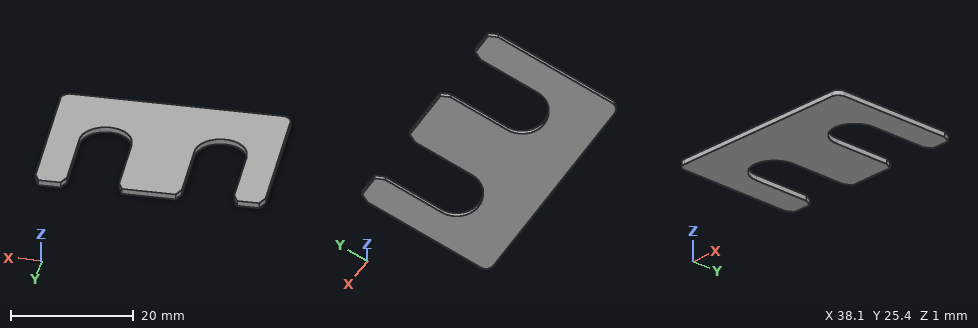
import cadquery as cq

length = 38.1
width = 25.4
thickness = 1.0
corner_radius = 1.524

slot_pitch = length / 2
slot_width = 8.636
slot_radius = slot_width / 2
slot_end_y = 0.0

bevel_y = corner_radius
bevel_x = bevel_y / 2

tip_y = width / 2
slot_centers = (-slot_pitch / 2, slot_pitch / 2)


def make_plate():
    """Flat plate with the two corners opposite the prongs rounded."""
    plate = cq.Workplane("XY").box(length, width, thickness, centered=(True, True, False))
    return plate.edges("|Z and <Y").fillet(corner_radius)


def make_slot(center_x):
    """Round-ended slot that opens through the tip edge."""
    left = center_x - slot_radius
    right = center_x + slot_radius
    return (
        cq.Workplane("XY")
        .moveTo(left, tip_y)
        .lineTo(left, slot_end_y)
        .threePointArc((center_x, slot_end_y - slot_radius), (right, slot_end_y))
        .lineTo(right, tip_y)
        .close()
        .extrude(thickness)
    )


def make_bevel(side_x, inward):
    """Wedge removed from a tip corner; inward is the X direction into the prong."""
    return (
        cq.Workplane("XY")
        .moveTo(side_x, tip_y)
        .lineTo(side_x + inward * bevel_x, tip_y)
        .lineTo(side_x, tip_y - bevel_y)
        .close()
        .extrude(thickness)
    )


result = make_plate()
for center_x in slot_centers:
    result = result.cut(make_slot(center_x))
    result = result.cut(make_bevel(center_x - slot_radius, -1))
    result = result.cut(make_bevel(center_x + slot_radius, 1))
result = result.cut(make_bevel(-length / 2, 1))
result = result.cut(make_bevel(length / 2, -1))